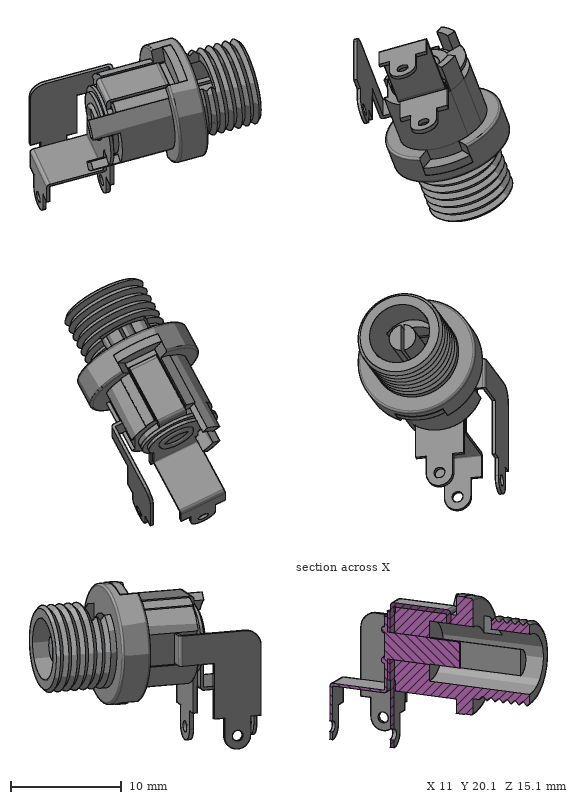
import cadquery as cq
import math


TOTAL_LENGTH = 20.05
WINDOW_START = 3.87
FLANGE_FRONT = 5.7
LOCK_START = 6.58
NOTCH_START = 7.38
FLANGE_BACK = 8.45
BODY_END = 13.5
BOSS_END = 14.0
WASHER_END = 14.3
PRONG_END = 16.1
BORE_END = 10.02

THREAD_RADIUS = 3.97
THREAD_ROOT_RADIUS = 3.59
MOUTH_RADIUS = 3.69
THREAD_PITCH = 0.8
FIRST_CREST = 0.3
THREAD_TURNS = 6
BORE_RADIUS = 2.8

FLANGE_RADIUS = 11.0 / 2
LOCK_RADIUS = 5.55
FLANGE_ROUND = 0.2

BODY_RADIUS = 8.4 / 2
RAIL_RADIUS = 4.37
RAIL_HALF_ANGLE = 35.0
BOSS_RADIUS = 3.25
PRONG_INNER_RADIUS = 3.4
PRONG_START_ANGLE = 28.8
PRONG_END_ANGLE = 90.0 - RAIL_HALF_ANGLE
SIDE_POCKET_X = -3.57
SIDE_POCKET_HALF_WIDTH = 1.5

TERMINAL_HALF_WIDTH = 2.25
LUG_RADIUS = 1.25
LUG_HOLE_RADIUS = 0.5
LUG_SHOULDER_Z = -6.58
LUG_BOTTOM_Z = -9.55
LUG_CENTRE_Z = LUG_BOTTOM_Z + LUG_RADIUS

SLEEVE_THICKNESS = 0.4
SLEEVE_HALF_WIDTH = 1.38
SLEEVE_BEND_RADIUS = 0.38
SLEEVE_TOP_Z = 4.13
SLEEVE_FRONT = 7.9
CHANNEL_FLOOR_Z = SLEEVE_TOP_Z - SLEEVE_THICKNESS
CHANNEL_HALF_WIDTH = 1.5
CHANNEL_FLARE_Z = 3.9
NOTCH_TOP_Z = 5.05
NOTCH_OVERSHOOT = 0.2

PIN_RADIUS = 1.25
PIN_TIP = 1.0
PIN_SLIT_WIDTH = 0.3
PIN_SLIT_END = 7.02
BEAD_CENTRE_RADIUS = 1.45
BEAD_RADIUS = 0.3
TAB_THICKNESS = 0.3
TAB_DISC_RADIUS = 2.75
TAB_LOBE_HALF_ANGLE = 28.4
TAB_SHELF_Z = -4.21
TAB_BEND_RADIUS = 0.05
TAB_BACK = WASHER_END + TAB_THICKNESS

SIDE_THICKNESS = 0.3
SIDE_OUTER_X = -4.93
SIDE_HALF_WIDTH = 1.4
SIDE_BEND_RADIUS = 0.28
SIDE_FRONT = 11.33
SIDE_LUG_CENTRE = 16.92
SIDE_CORNER_RADIUS = 1.48


def section_at(depth):
    """Sketch plane across the barrel: local x = X, local y = Z, extruding toward -Y."""
    return cq.Workplane("XZ", origin=(0, -depth, 0))


def cylinder(radius, start, end):
    return section_at(start).circle(radius).extrude(end - start)


def box(x_range, depth_range, z_range):
    (x0, x1), (d0, d1), (z0, z1) = x_range, depth_range, z_range
    return cq.Workplane("XY").box(x1 - x0, d1 - d0, z1 - z0, centered=False).translate((x0, -d1, z0))


def polar(radius, angle):
    a = math.radians(angle)
    return (radius * math.cos(a), radius * math.sin(a))


def ring_sector(inner, outer, start_angle, end_angle, start, end):
    """Piece of a tube along the barrel; angles run from +X toward +Z."""
    middle = (start_angle + end_angle) / 2
    return (
        section_at(start)
        .moveTo(*polar(inner, start_angle))
        .lineTo(*polar(outer, start_angle))
        .threePointArc(polar(outer, middle), polar(outer, end_angle))
        .lineTo(*polar(inner, end_angle))
        .threePointArc(polar(inner, middle), polar(inner, start_angle))
        .close()
        .extrude(end - start)
    )


def lug_outline(plane, top):
    """Shouldered solder lug, centred on the plane's local y axis, with a round end."""
    return (
        plane.moveTo(-TERMINAL_HALF_WIDTH, top)
        .lineTo(-TERMINAL_HALF_WIDTH, LUG_SHOULDER_Z)
        .lineTo(-LUG_RADIUS, LUG_SHOULDER_Z)
        .lineTo(-LUG_RADIUS, LUG_CENTRE_Z)
        .threePointArc((0, LUG_BOTTOM_Z), (LUG_RADIUS, LUG_CENTRE_Z))
        .lineTo(LUG_RADIUS, LUG_SHOULDER_Z)
        .lineTo(TERMINAL_HALF_WIDTH, LUG_SHOULDER_Z)
        .lineTo(TERMINAL_HALF_WIDTH, top)
        .close()
    )


def make_lug(plane, top, thickness):
    lug = lug_outline(plane, top).extrude(thickness)
    hole = plane.center(0, LUG_CENTRE_Z).circle(LUG_HOLE_RADIUS).extrude(thickness)
    return lug.cut(hole)


def make_sleeve_plate():
    """Rear plate of the sleeve terminal, without its pin hole."""
    start = BOSS_END - SLEEVE_THICKNESS
    hook = box(
        (-SLEEVE_HALF_WIDTH, SLEEVE_HALF_WIDTH), (start, BOSS_END), (0, CHANNEL_FLOOR_Z)
    )
    return make_lug(section_at(start), 0, SLEEVE_THICKNESS).union(hook)


def make_sleeve_terminal():
    across = (-SLEEVE_HALF_WIDTH, SLEEVE_HALF_WIDTH)
    strip = box(across, (SLEEVE_FRONT, BOSS_END), (CHANNEL_FLOOR_Z, SLEEVE_TOP_Z))
    strip = strip.edges("|X and >Z").fillet(SLEEVE_BEND_RADIUS)
    front_leg = box(
        across, (SLEEVE_FRONT, SLEEVE_FRONT + SLEEVE_THICKNESS), (BORE_RADIUS, CHANNEL_FLOOR_Z)
    )
    pin_hole = cylinder(PIN_RADIUS, SLEEVE_FRONT, BOSS_END)
    return strip.union(front_leg).union(make_sleeve_plate().cut(pin_hole))


def make_threaded_barrel():
    half_pitch = THREAD_PITCH / 2
    profile = [(0, 0), (MOUTH_RADIUS, 0)]
    for turn in range(THREAD_TURNS):
        crest = FIRST_CREST + turn * THREAD_PITCH
        profile.append((THREAD_RADIUS, -crest))
        profile.append((THREAD_ROOT_RADIUS, -crest - half_pitch))
    profile.append((THREAD_RADIUS, -FIRST_CREST - THREAD_TURNS * THREAD_PITCH))
    profile.append((THREAD_RADIUS, -FLANGE_FRONT))
    profile.append((0, -FLANGE_FRONT))
    return cq.Workplane("XY").polyline(profile).close().revolve(360, (0, 0), (0, 1))


def make_notch(start, end):
    """Flared channel cutter above the axis, reaching past the flange rim."""
    slope = (TERMINAL_HALF_WIDTH - CHANNEL_HALF_WIDTH) / (NOTCH_TOP_Z - CHANNEL_FLARE_Z)
    top_z = LOCK_RADIUS + NOTCH_OVERSHOOT
    top_x = CHANNEL_HALF_WIDTH + slope * (top_z - CHANNEL_FLARE_Z)
    return (
        section_at(start)
        .moveTo(-CHANNEL_HALF_WIDTH, CHANNEL_FLOOR_Z)
        .lineTo(CHANNEL_HALF_WIDTH, CHANNEL_FLOOR_Z)
        .lineTo(CHANNEL_HALF_WIDTH, CHANNEL_FLARE_Z)
        .lineTo(top_x, top_z)
        .lineTo(-top_x, top_z)
        .lineTo(-CHANNEL_HALF_WIDTH, CHANNEL_FLARE_Z)
        .close()
        .extrude(end - start)
    )


def make_flange():
    flange = cylinder(FLANGE_RADIUS, FLANGE_FRONT, FLANGE_BACK).edges().fillet(FLANGE_ROUND)
    lock_pads = cylinder(LOCK_RADIUS, LOCK_START, NOTCH_START).intersect(
        box(
            (-TERMINAL_HALF_WIDTH, TERMINAL_HALF_WIDTH),
            (LOCK_START, NOTCH_START),
            (-LOCK_RADIUS, LOCK_RADIUS),
        )
    )
    lower_notch = make_notch(NOTCH_START, FLANGE_BACK).mirror("XY")
    lower_notch = lower_notch.cut(cylinder(BODY_RADIUS, NOTCH_START, FLANGE_BACK))
    return flange.union(lock_pads).cut(lower_notch)


def make_prongs():
    """Two prongs on the +X side that stand out behind the body."""
    upper = ring_sector(
        PRONG_INNER_RADIUS, BODY_RADIUS, PRONG_START_ANGLE, PRONG_END_ANGLE, FLANGE_BACK, PRONG_END
    )
    return [upper, upper.mirror("XY")]


def make_rear_body():
    """Body behind the flange: railed cylinder, side pocket, rear boss and two prongs."""
    rails = ring_sector(
        BOSS_RADIUS, RAIL_RADIUS, 90 - RAIL_HALF_ANGLE, 90 + RAIL_HALF_ANGLE, FLANGE_BACK, BODY_END
    )
    side_pocket = box(
        (-BODY_RADIUS, SIDE_POCKET_X),
        (FLANGE_BACK, BODY_END),
        (-SIDE_POCKET_HALF_WIDTH, SIDE_POCKET_HALF_WIDTH),
    )
    body = cylinder(BODY_RADIUS, FLANGE_BACK, BODY_END).union(rails).cut(side_pocket)
    boss = cylinder(BOSS_RADIUS, FLANGE_BACK, BOSS_END)
    for prong in make_prongs():
        body = body.union(prong)
    return body.union(boss)


def make_housing():
    housing = make_threaded_barrel().union(make_flange()).union(make_rear_body())

    housing = housing.cut(make_notch(NOTCH_START, BODY_END))
    front_leg_hole = box(
        (-SLEEVE_HALF_WIDTH, SLEEVE_HALF_WIDTH),
        (SLEEVE_FRONT, SLEEVE_FRONT + SLEEVE_THICKNESS),
        (0, CHANNEL_FLOOR_Z),
    )
    housing = housing.cut(front_leg_hole).cut(make_sleeve_plate())

    window = box(
        (-TERMINAL_HALF_WIDTH, TERMINAL_HALF_WIDTH), (WINDOW_START, FLANGE_FRONT), (0, THREAD_RADIUS)
    )
    bore = cylinder(BORE_RADIUS, 0, BORE_END)
    pin_hole = cylinder(PIN_RADIUS, 0, BOSS_END)
    return housing.cut(window).cut(bore).cut(pin_hole)


def make_washer():
    return cylinder(BOSS_RADIUS, BOSS_END, WASHER_END).cut(cylinder(PIN_RADIUS, BOSS_END, WASHER_END))


def make_pin():
    pin = cylinder(PIN_RADIUS, PIN_TIP, TAB_BACK)
    half_slit = PIN_SLIT_WIDTH / 2
    slit = box((-half_slit, half_slit), (PIN_TIP, PIN_SLIT_END), (-PIN_RADIUS, PIN_RADIUS))
    return pin.cut(slit)


def make_rivet_bead():
    return (
        cq.Workplane("XY")
        .center(0, -TAB_BACK)
        .moveTo(BEAD_CENTRE_RADIUS - BEAD_RADIUS, 0)
        .threePointArc((BEAD_CENTRE_RADIUS, -BEAD_RADIUS), (BEAD_CENTRE_RADIUS + BEAD_RADIUS, 0))
        .close()
        .revolve(360, (0, 0), (0, 1))
    )


def make_tab():
    disc = cylinder(TAB_DISC_RADIUS, WASHER_END, TAB_BACK)
    lobe = ring_sector(
        PIN_RADIUS, BODY_RADIUS, -TAB_LOBE_HALF_ANGLE, TAB_LOBE_HALF_ANGLE, WASHER_END, TAB_BACK
    )
    outer_bend = TAB_BEND_RADIUS + TAB_THICKNESS
    shelf_bottom = TAB_SHELF_Z - TAB_THICKNESS
    lug_front = TOTAL_LENGTH - TAB_THICKNESS
    bent_strip = (
        cq.Workplane("YZ", origin=(-TERMINAL_HALF_WIDTH, 0, 0))
        .moveTo(-WASHER_END, 0)
        .lineTo(-WASHER_END, shelf_bottom)
        .lineTo(-lug_front, shelf_bottom)
        .lineTo(-lug_front, LUG_SHOULDER_Z)
        .lineTo(-TOTAL_LENGTH, LUG_SHOULDER_Z)
        .lineTo(-TOTAL_LENGTH, TAB_SHELF_Z)
        .lineTo(-TAB_BACK, TAB_SHELF_Z)
        .lineTo(-TAB_BACK, 0)
        .close()
        .extrude(2 * TERMINAL_HALF_WIDTH)
    )
    bends = (
        (WASHER_END, shelf_bottom, outer_bend),
        (TAB_BACK, TAB_SHELF_Z, TAB_BEND_RADIUS),
        (lug_front, shelf_bottom, TAB_BEND_RADIUS),
        (TOTAL_LENGTH, TAB_SHELF_Z, outer_bend),
    )
    for depth, z, radius in bends:
        corner = cq.NearestToPointSelector((0, -depth, z))
        bent_strip = bent_strip.edges("|X").edges(corner).fillet(radius)
    meeting_z = -math.sqrt(TAB_DISC_RADIUS**2 - TERMINAL_HALF_WIDTH**2)
    above = box(
        (-TERMINAL_HALF_WIDTH, TERMINAL_HALF_WIDTH), (WASHER_END, TAB_BACK), (meeting_z, 0)
    )
    lug = make_lug(section_at(lug_front), shelf_bottom - TAB_BEND_RADIUS, TAB_THICKNESS)
    tab = bent_strip.cut(above).union(disc).union(lobe).union(lug)
    for prong in make_prongs():
        tab = tab.cut(prong)
    return tab


def make_centre_contact():
    return make_tab().union(make_pin()).union(make_rivet_bead())


def make_side_terminal():
    plane = cq.Workplane("YZ", origin=(SIDE_OUTER_X, -SIDE_LUG_CENTRE, 0))
    lug = make_lug(plane, SIDE_HALF_WIDTH, SIDE_THICKNESS)
    rear_corner = cq.NearestToPointSelector(
        (SIDE_OUTER_X, -SIDE_LUG_CENTRE - TERMINAL_HALF_WIDTH, SIDE_HALF_WIDTH)
    )
    lug = lug.edges("|X").edges(rear_corner).fillet(SIDE_CORNER_RADIUS)
    up_down = (-SIDE_HALF_WIDTH, SIDE_HALF_WIDTH)
    arm = box((SIDE_OUTER_X, SIDE_OUTER_X + SIDE_THICKNESS), (SIDE_FRONT, SIDE_LUG_CENTRE), up_down)
    foot = box((SIDE_OUTER_X, SIDE_POCKET_X), (SIDE_FRONT, SIDE_FRONT + SIDE_THICKNESS), up_down)
    bent_arm = arm.union(foot).edges("|Z and <X and >Y").fillet(SIDE_BEND_RADIUS)
    return bent_arm.union(lug)


housing = make_housing()
washer = make_washer()
sleeve_terminal = make_sleeve_terminal()
centre_contact = make_centre_contact()
side_terminal = make_side_terminal()

result = cq.Compound.makeCompound(
    [
        housing.val(),
        washer.val(),
        sleeve_terminal.val(),
        centre_contact.val(),
        side_terminal.val(),
    ]
)